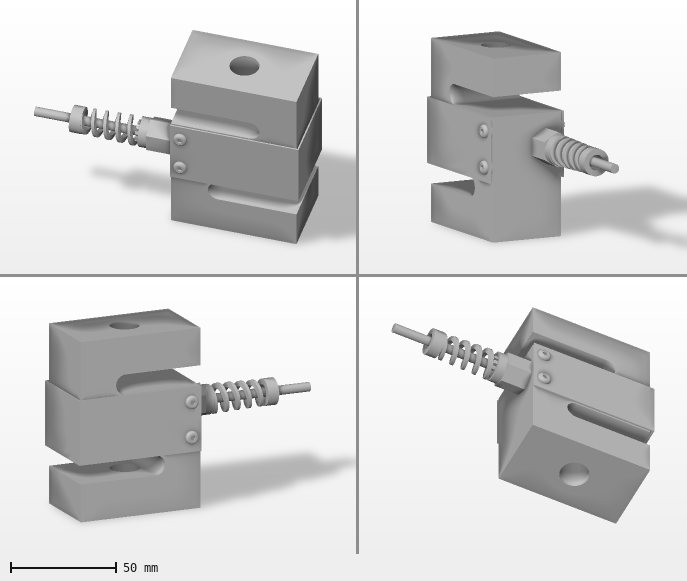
import cadquery as cq
import math


block_length = 62.3
block_width = 36.7
block_height = 89.0
slot_reach = 43.9
slot_height = 9.9
slot_inner_edge = 16.0
mount_hole_diameter = 14.3

cover_end_x = 63.7
cover_height = 2 * slot_inner_edge
cover_thickness = 0.73
cover_outer_width = 39.7
cover_inner_width = cover_outer_width - 2 * cover_thickness

screw_x = 5.2
screw_pitch = 17.5
screw_span = 43.6
screw_head_diameter = 6.7
screw_head_height = (screw_span - cover_outer_width) / 2
screw_edge_fillet = 1.5
socket_rim_diameter = 3.7
socket_rim_depth = 0.3
socket_hex_corners = 2.8
socket_depth = 1.3
washer_diameter = 9.5
washer_thickness = (cover_inner_width - block_width) / 2

gland_y = -10.0
nut_length = 12.5
nut_corners = 17.2
collar_diameter = 14.7
collar_end_x = -16.8
finger_count = 12
finger_length = 2.0
finger_outer_diameter = 11.1
finger_inner_diameter = 9.5
finger_gap = 1.2
cable_diameter = 4.5
overall_length = 133.4
cable_end_x = cover_end_x - overall_length

cap_diameter = 13.2
cap_bore = 7.6
cap_outer_x = -51.1
cap_inner_x = -45.5
spiral_start_x = -46.5
spiral_end_x = -16.4
spiral_turns = 5
spiral_outer_thickness = 1.5
spiral_inner_thickness = 2.4
spiral_start_diameter = 12.8
spiral_end_diameter = 14.8
spiral_depth = 2.5


def gland_cylinder(start_x, end_x, diameter):
    """Cylinder on the gland axis between two X positions."""
    plane = cq.Workplane("YZ", origin=(start_x, gland_y, 0))
    return plane.circle(diameter / 2).extrude(end_x - start_x)


def make_slot():
    """Slot open on the -X face in the upper half, with a full round end."""
    radius = slot_height / 2
    arc_x = slot_reach - radius
    top_z = slot_inner_edge + slot_height
    return (
        cq.Workplane("XZ")
        .moveTo(0, slot_inner_edge)
        .lineTo(arc_x, slot_inner_edge)
        .threePointArc((slot_reach, slot_inner_edge + radius), (arc_x, top_z))
        .lineTo(0, top_z)
        .close()
        .extrude(block_width / 2, both=True)
    )


def make_mount_hole():
    """Vertical hole from the top face into the upper slot."""
    depth = block_height / 2 - slot_inner_edge - slot_height / 2
    plane = cq.Workplane("XY", origin=(block_length / 2, 0, block_height / 2))
    return plane.circle(mount_hole_diameter / 2).extrude(-depth)


def make_block():
    """Block with the slot and hole repeated by a half turn about its middle."""
    block = cq.Workplane("XY").box(
        block_length, block_width, block_height, centered=(False, True, True)
    )
    cutter = make_slot().union(make_mount_hole())
    axis_start = (block_length / 2, 0, 0)
    axis_end = (block_length / 2, 1, 0)
    return block.cut(cutter).cut(cutter.rotate(axis_start, axis_end, 180))


def make_cover():
    """Thin U-shaped plate around the sides and the +X end of the block."""
    outer = cq.Workplane("XY").box(
        cover_end_x, cover_outer_width, cover_height, centered=(False, True, True)
    )
    inner = cq.Workplane("XY").box(
        cover_end_x - cover_thickness,
        cover_inner_width,
        cover_height,
        centered=(False, True, True),
    )
    return outer.cut(inner)


def make_screw(z):
    """Washer and button head with a hexagon socket on the -Y side."""
    washer = (
        cq.Workplane("XZ", origin=(screw_x, -block_width / 2, z))
        .circle(washer_diameter / 2)
        .extrude(washer_thickness)
    )
    head_length = screw_head_height + cover_thickness
    head = (
        cq.Workplane("XZ", origin=(screw_x, -cover_inner_width / 2, z))
        .circle(screw_head_diameter / 2)
        .extrude(head_length)
        .faces("<Y")
        .edges()
        .fillet(screw_edge_fillet)
    )
    head_face = cq.Workplane("XZ", origin=(screw_x, -screw_span / 2, z))
    rim = head_face.circle(socket_rim_diameter / 2).extrude(-socket_rim_depth)
    socket = head_face.polygon(6, socket_hex_corners).extrude(-socket_depth)
    return washer.union(head.cut(rim).cut(socket))


def make_gland():
    """Hexagon nut, ring of clamping fingers and the cable."""
    nut = (
        cq.Workplane("YZ", origin=(-nut_length, gland_y, 0))
        .transformed(rotate=(0, 0, 90))
        .polygon(6, nut_corners)
        .extrude(nut_length)
    )
    finger_end_x = collar_end_x - finger_length
    fingers = gland_cylinder(finger_end_x, collar_end_x, finger_outer_diameter)
    fingers = fingers.cut(gland_cylinder(finger_end_x, collar_end_x, finger_inner_diameter))
    gap_pitch = 360 / finger_count
    for index in range(finger_count // 2):
        gap = (
            cq.Workplane("YZ", origin=(finger_end_x, gland_y, 0))
            .transformed(rotate=(0, 0, (index + 0.5) * gap_pitch))
            .rect(finger_outer_diameter, finger_gap)
            .extrude(finger_length)
        )
        fingers = fingers.cut(gap)
    cable = gland_cylinder(cable_end_x, -nut_length, cable_diameter)
    return nut.union(fingers).union(cable)


def make_spiral():
    """Coil of trapezoid section that widens from the end cap to the collar."""
    length = spiral_end_x - spiral_start_x
    start_radius = (spiral_start_diameter - spiral_depth) / 2
    end_radius = (spiral_end_diameter - spiral_depth) / 2
    cone_angle = math.degrees(math.atan((end_radius - start_radius) / length))
    path = cq.Wire.makeHelix(
        length / spiral_turns, length, start_radius, angle=cone_angle
    )
    coil = (
        cq.Workplane("XZ")
        .moveTo(start_radius - spiral_depth / 2, -spiral_inner_thickness / 2)
        .lineTo(start_radius + spiral_depth / 2, -spiral_outer_thickness / 2)
        .lineTo(start_radius + spiral_depth / 2, spiral_outer_thickness / 2)
        .lineTo(start_radius - spiral_depth / 2, spiral_inner_thickness / 2)
        .close()
        .sweep(cq.Workplane(path), isFrenet=True)
    )
    gland_plane = cq.Plane(
        origin=(spiral_start_x, gland_y, 0), xDir=(0, 0, 1), normal=(1, 0, 0)
    )
    return cq.Workplane(coil.val().moved(gland_plane.location))


def make_strain_relief():
    """Spiral joined to the gland collar and to the ring at its free end."""
    collar = gland_cylinder(collar_end_x, -nut_length, collar_diameter)
    cap = gland_cylinder(cap_outer_x, cap_inner_x, cap_diameter)
    cap = cap.cut(gland_cylinder(cap_outer_x, cap_inner_x, cap_bore))
    return make_spiral().union(collar).union(cap)


result = make_block().union(make_cover())
for z in (-screw_pitch / 2, screw_pitch / 2):
    screw = make_screw(z)
    result = result.union(screw).union(screw.mirror("XZ"))
result = result.union(make_strain_relief().union(make_gland()))